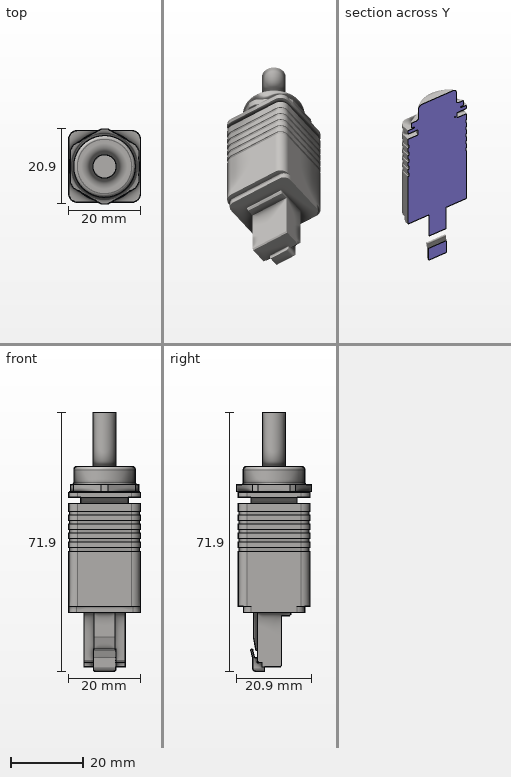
import cadquery as cq
import math


OVERALL_HEIGHT = 71.9

CABLE_DIAMETER = 6.5
CAP_DIAMETER = 17.1
CAP_TOP_Z = 56.95
CAP_TOP_FILLET = 1.0
CAP_FLARE = 0.65

NUT_ACROSS_FLATS = 19.0
NUT_CORNER_DIAMETER = 20.9
NUT_TOP_Z = 51.8
NUT_BOTTOM_Z = 49.9
WASHER_DIAMETER = 19.4
FLANGE_TOP_Z = 49.7
FLANGE_THICKNESS = 1.4

HOUSING_WIDTH = 20.0
HOUSING_CORNER_RADIUS = 2.5
HOUSING_TOP_Z = 46.65
HOUSING_BOTTOM_Z = 18.05
NECK_SIZE_X = 13.2
NECK_SIZE_Y = 12.8
FOOT_SIZE_Y = 17.05
FOOT_CORNER_RADIUS = 2.15
FOOT_BOTTOM_Z = 16.3

GROOVE_COUNT = 5
GROOVE_PITCH = 2.5
GROOVE_WIDTH = 1.0
GROOVE_DEPTH = 0.25
LOWEST_GROOVE_Z = 33.35

PLUG_WIDTH = 11.5
PLUG_FRONT_Y = -4.6
PLUG_BACK_Y = 2.1
PLUG_BOTTOM_Z = 1.3
PLUG_BACK_CHAMFER = 0.35
PLUG_NOSE_Y = -3.3
PLUG_NOSE_Z = 2.45
PLUG_NOSE_FILLET = 0.6
LEDGE_BACK_Y = 4.7
LEDGE_THICKNESS = 0.85
LEDGE_CHAMFER = 0.4

ARM_WIDTH = 5.8
ARM_FRONT_Y = -5.75
ARM_BEND_Z = 9.55
ARM_END_Y = -5.0
ARM_END_Z = 5.8

HOOK_WIDTH = 6.25
HOOK_BACK_Y = -2.6
HOOK_FRONT_Y = -6.0
HOOK_BEND_Z = 3.9
HOOK_LIP_THICKNESS = 0.6
HOOK_TIP_Z = 6.2
HOOK_TIP_FRONT_Y = -6.5
HOOK_TIP_PEAK_OFFSET = 0.2
HOOK_TIP_FRONT_DROP = 0.35
HOOK_TIP_BACK_DROP = 0.5
HOOK_FRONT_FILLET = 1.0
HOOK_SIDE_FILLET = 0.65


def block(size_x, size_y, bottom_z, top_z):
    """Upright block centred on the Z axis."""
    return (
        cq.Workplane("XY", origin=(0, 0, bottom_z))
        .rect(size_x, size_y)
        .extrude(top_z - bottom_z)
    )


def rounded_block(size_x, size_y, bottom_z, top_z, corner_radius):
    """Upright block with its four vertical edges rounded."""
    return block(size_x, size_y, bottom_z, top_z).edges("|Z").fillet(corner_radius)


def disc(diameter, bottom_z, top_z):
    """Upright cylinder on the Z axis."""
    return (
        cq.Workplane("XY", origin=(0, 0, bottom_z))
        .circle(diameter / 2)
        .extrude(top_z - bottom_z)
    )


def side_profile(points, width):
    """Closed outline of (y, z) points, extruded evenly to both sides along X."""
    return cq.Workplane("YZ").polyline(points).close().extrude(width / 2, both=True)


def make_cap():
    """Turned cap with a rounded rim and a concave flare where it meets the nut."""
    radius = CAP_DIAMETER / 2
    flare_offset = CAP_FLARE * (1 - math.sqrt(0.5))
    rim_offset = CAP_TOP_FILLET * (1 - math.sqrt(0.5))
    return (
        cq.Workplane("XZ")
        .moveTo(0, NUT_TOP_Z)
        .lineTo(radius + CAP_FLARE, NUT_TOP_Z)
        .threePointArc(
            (radius + flare_offset, NUT_TOP_Z + flare_offset),
            (radius, NUT_TOP_Z + CAP_FLARE),
        )
        .lineTo(radius, CAP_TOP_Z - CAP_TOP_FILLET)
        .threePointArc(
            (radius - rim_offset, CAP_TOP_Z - rim_offset),
            (radius - CAP_TOP_FILLET, CAP_TOP_Z),
        )
        .lineTo(0, CAP_TOP_Z)
        .close()
        .revolve(360, (0, 0, 0), (0, 1, 0))
    )


def make_nut():
    """Hexagon with flats facing +-X and its corners turned down to a circle."""
    hexagon = (
        cq.Workplane("XY", origin=(0, 0, NUT_BOTTOM_Z))
        .transformed(rotate=(0, 0, 90))
        .polygon(6, NUT_ACROSS_FLATS / math.cos(math.pi / 6))
        .extrude(NUT_TOP_Z - NUT_BOTTOM_Z)
    )
    return hexagon.intersect(disc(NUT_CORNER_DIAMETER, NUT_BOTTOM_Z, NUT_TOP_Z))


def make_housing():
    """Rounded square housing with a row of grip grooves."""
    housing = rounded_block(
        HOUSING_WIDTH, HOUSING_WIDTH, HOUSING_BOTTOM_Z, HOUSING_TOP_Z, HOUSING_CORNER_RADIUS
    )
    core_width = HOUSING_WIDTH - 2 * GROOVE_DEPTH
    core_radius = HOUSING_CORNER_RADIUS - GROOVE_DEPTH
    for index in range(GROOVE_COUNT):
        bottom_z = LOWEST_GROOVE_Z + index * GROOVE_PITCH
        top_z = bottom_z + GROOVE_WIDTH
        core = rounded_block(core_width, core_width, bottom_z, top_z, core_radius)
        groove = block(HOUSING_WIDTH, HOUSING_WIDTH, bottom_z, top_z).cut(core)
        housing = housing.cut(groove)
    return housing


def make_plug():
    """Plug body with a ledge at the back and a stepped nose at the front."""
    ledge_bottom_z = FOOT_BOTTOM_Z - LEDGE_THICKNESS
    plug = side_profile(
        [
            (PLUG_FRONT_Y, FOOT_BOTTOM_Z),
            (PLUG_FRONT_Y, PLUG_NOSE_Z),
            (PLUG_NOSE_Y, PLUG_NOSE_Z),
            (PLUG_NOSE_Y, PLUG_BOTTOM_Z),
            (PLUG_BACK_Y - PLUG_BACK_CHAMFER, PLUG_BOTTOM_Z),
            (PLUG_BACK_Y, PLUG_BOTTOM_Z + PLUG_BACK_CHAMFER),
            (PLUG_BACK_Y, ledge_bottom_z),
            (LEDGE_BACK_Y - LEDGE_CHAMFER, ledge_bottom_z),
            (LEDGE_BACK_Y, ledge_bottom_z + LEDGE_CHAMFER),
            (LEDGE_BACK_Y, FOOT_BOTTOM_Z),
        ],
        PLUG_WIDTH,
    )
    nose_edge = cq.selectors.NearestToPointSelector((0, PLUG_FRONT_Y, PLUG_NOSE_Z))
    return plug.edges(nose_edge).fillet(PLUG_NOSE_FILLET)


def make_latch_arm():
    """Arm that thins out towards its free lower end."""
    return side_profile(
        [
            (PLUG_FRONT_Y, FOOT_BOTTOM_Z),
            (ARM_FRONT_Y, FOOT_BOTTOM_Z),
            (ARM_FRONT_Y, ARM_BEND_Z),
            (ARM_END_Y, ARM_END_Z),
            (PLUG_FRONT_Y, ARM_END_Z),
        ],
        ARM_WIDTH,
    )


def make_hook():
    """Latch block below the plug nose, with a round-tipped lip leaning forward at its top."""
    base = side_profile(
        [
            (HOOK_BACK_Y, 0),
            (HOOK_FRONT_Y, 0),
            (HOOK_FRONT_Y, HOOK_BEND_Z),
            (PLUG_FRONT_Y, HOOK_BEND_Z),
            (PLUG_FRONT_Y, PLUG_NOSE_Z),
            (PLUG_NOSE_Y, PLUG_NOSE_Z),
            (PLUG_NOSE_Y, PLUG_BOTTOM_Z),
            (HOOK_BACK_Y, PLUG_BOTTOM_Z),
        ],
        HOOK_WIDTH,
    )
    base = base.faces("<Z").edges("<Y").fillet(HOOK_FRONT_FILLET)

    side_limit = block(HOOK_WIDTH, 2 * abs(HOOK_FRONT_Y), 0, HOOK_BEND_Z)
    side_limit = side_limit.faces("<Z").edges("|Y").fillet(HOOK_SIDE_FILLET)
    base = base.intersect(side_limit)

    lip = (
        cq.Workplane("YZ")
        .moveTo(HOOK_FRONT_Y + HOOK_LIP_THICKNESS, HOOK_BEND_Z)
        .lineTo(HOOK_FRONT_Y, HOOK_BEND_Z)
        .lineTo(HOOK_TIP_FRONT_Y, HOOK_TIP_Z - HOOK_TIP_FRONT_DROP)
        .threePointArc(
            (HOOK_TIP_FRONT_Y + HOOK_TIP_PEAK_OFFSET, HOOK_TIP_Z),
            (HOOK_TIP_FRONT_Y + HOOK_LIP_THICKNESS, HOOK_TIP_Z - HOOK_TIP_BACK_DROP),
        )
        .close()
        .extrude(HOOK_WIDTH / 2, both=True)
    )
    return base.union(lip)


cable = disc(CABLE_DIAMETER, CAP_TOP_Z, OVERALL_HEIGHT)
washer = disc(WASHER_DIAMETER, FLANGE_TOP_Z, NUT_BOTTOM_Z)
flange_bottom_z = FLANGE_TOP_Z - FLANGE_THICKNESS
flange = rounded_block(
    HOUSING_WIDTH, HOUSING_WIDTH, flange_bottom_z, FLANGE_TOP_Z, HOUSING_CORNER_RADIUS
)
neck = block(NECK_SIZE_X, NECK_SIZE_Y, HOUSING_TOP_Z, flange_bottom_z)
foot = rounded_block(HOUSING_WIDTH, FOOT_SIZE_Y, FOOT_BOTTOM_Z, HOUSING_BOTTOM_Z, FOOT_CORNER_RADIUS)

result = (
    make_housing()
    .union(neck)
    .union(flange)
    .union(washer)
    .union(make_nut())
    .union(make_cap())
    .union(cable)
    .union(foot)
    .union(make_plug())
    .union(make_latch_arm())
    .union(make_hook())
)